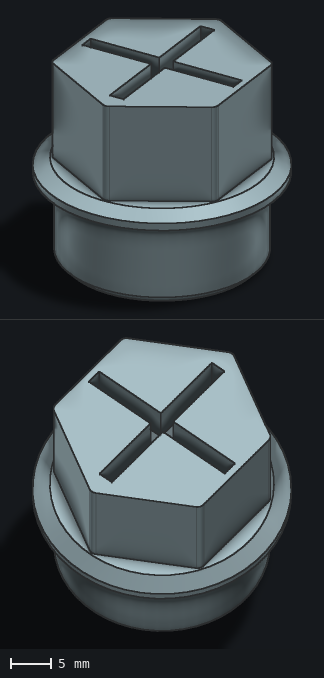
import cadquery as cq

body_diameter = 27.0
body_height = 11.75
body_chamfer = 1.0

flange_diameter = 32.3
flange_top_diameter = 27.97
rim_height = 1.0
cone_height = 1.0
rim_top = body_height + rim_height
flange_top = rim_top + cone_height

total_height = 27.0
hex_across_flats = 24.0
hex_corner_radius = 1.0
hex_height = total_height - flange_top

slot_length = 22.0
slot_width = 2.0
slot_depth = 5.0


def make_turned_body():
    """Chamfered plug and flange, revolved about Z."""
    body_radius = body_diameter / 2
    flange_radius = flange_diameter / 2
    return (
        cq.Workplane("XZ")
        .lineTo(body_radius - body_chamfer, 0)
        .lineTo(body_radius, body_chamfer)
        .lineTo(body_radius, body_height)
        .lineTo(flange_radius, body_height)
        .lineTo(flange_radius, rim_top)
        .lineTo(flange_top_diameter / 2, flange_top)
        .lineTo(0, flange_top)
        .close()
        .revolve(360, (0, 0), (0, 1))
    )


def make_hex_head():
    """Hexagonal prism with rounded upright edges and corners on the Y axis."""
    return (
        cq.Workplane("XY")
        .workplane(offset=flange_top)
        .polygon(6, hex_across_flats, circumscribed=True)
        .extrude(hex_height)
        .edges("|Z")
        .fillet(hex_corner_radius)
    )


def make_cross_slots():
    """Cutter for the two crossed slots."""
    floor = cq.Workplane("XY").workplane(offset=total_height - slot_depth)
    along_x = floor.rect(slot_length, slot_width).extrude(slot_depth)
    along_y = floor.rect(slot_width, slot_length).extrude(slot_depth)
    return along_x.union(along_y)


result = make_turned_body().union(make_hex_head()).cut(make_cross_slots())